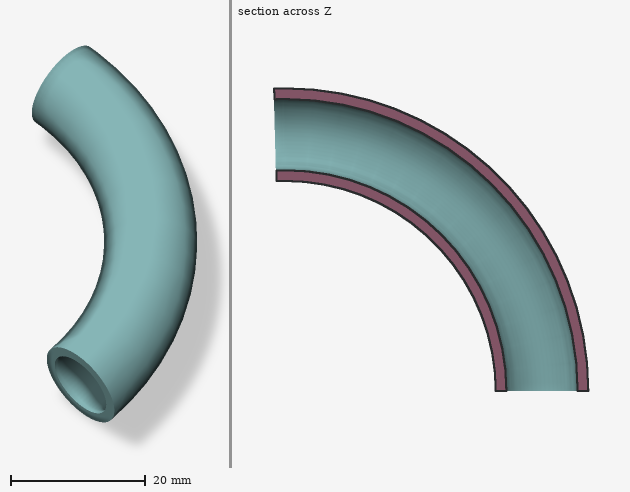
import cadquery as cq
import math

length_x = 46.7
outer_bend_radius = 45.0
outer_diameter = 13.8
bore_diameter = 10.5
quarter_turn = 90.0
bend_radius = outer_bend_radius - outer_diameter / 2

seam_angle = 1.5
seam_outer_width = 0.55
seam_outer_radius = seam_outer_width / math.radians(seam_angle)
seam_radius = seam_outer_radius - outer_diameter / 2
seam_center_y = bend_radius - seam_radius

tilt = math.radians(seam_angle)
overhang = length_x - outer_bend_radius
collar_length = (overhang - seam_outer_radius * math.sin(tilt)) / math.cos(tilt)


def ring_section(plane):
    """Annular pipe section centred on a plane."""
    return cq.Workplane(plane).circle(outer_diameter / 2).circle(bore_diameter / 2)


def bent_tube(center_y, radius, start_angle, sweep_angle):
    """Tube bent about a Z-parallel axis through (0, center_y), angles from +X toward +Y."""
    plane = cq.Plane(origin=(radius, 0, 0), xDir=(1, 0, 0), normal=(0, -1, 0))
    tube = ring_section(plane).revolve(sweep_angle, (-radius, 0, 0), (-radius, 1, 0))
    return tube.rotate((0, 0, 0), (0, 0, 1), start_angle).translate((0, center_y, 0))


def straight_collar():
    """Straight tube leaving the end of the seam along its tangent."""
    start = (-seam_radius * math.sin(tilt), seam_center_y + seam_radius * math.cos(tilt), 0)
    direction = (-math.cos(tilt), -math.sin(tilt), 0)
    plane = cq.Plane(origin=start, xDir=(0, 0, 1), normal=direction)
    return ring_section(plane).extrude(collar_length)


bend = bent_tube(0, bend_radius, 0, quarter_turn)
seam = bent_tube(seam_center_y, seam_radius, quarter_turn, seam_angle)

result = bend.union(seam).union(straight_collar())